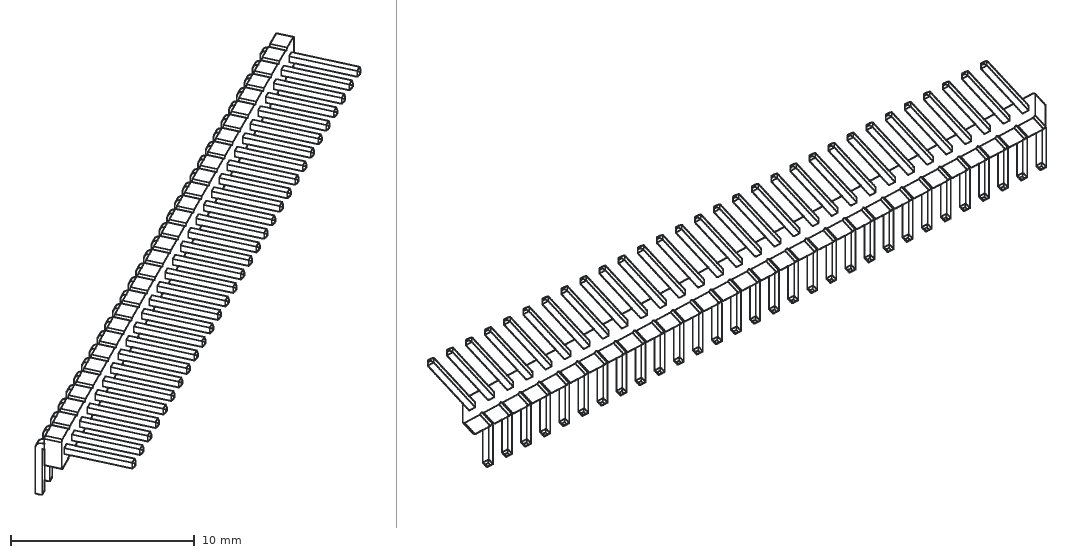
import cadquery as cq
import math

overall_x = 5.7
overall_y = 38.1
overall_z = 4.5

pin_count = 30
pitch = overall_y / pin_count
pin_half_width = 0.202
pin_width = 2 * pin_half_width
tip_chamfer = 0.1

strip_width = 1.0
strip_height = 2.05
strip_offset = 0.7
strip_bevel = 0.125

leg_end_z = strip_height / 2 - overall_z
bend_inset = pin_width * (1 - math.sqrt(0.5))


def make_strip_segment(y_center):
    """One segment of the strip: a bar along X with bevelled long edges."""
    return (
        cq.Workplane("XY")
        .box(strip_width, pitch, strip_height)
        .edges("|X")
        .chamfer(strip_bevel)
        .translate((strip_offset + strip_width / 2, y_center, 0))
    )


def make_pin(y_center):
    """Square pin bent down by 90 degrees: sharp inside, round outside, with bevelled tips."""
    pin = (
        cq.Workplane("XZ")
        .moveTo(0, leg_end_z)
        .lineTo(0, -pin_half_width)
        .threePointArc((bend_inset, pin_half_width - bend_inset), (pin_width, pin_half_width))
        .lineTo(overall_x, pin_half_width)
        .lineTo(overall_x, -pin_half_width)
        .lineTo(pin_width, -pin_half_width)
        .lineTo(pin_width, leg_end_z)
        .close()
        .extrude(pin_half_width, both=True)
    )
    pin = pin.faces(">X").chamfer(tip_chamfer)
    pin = pin.faces("<Z").chamfer(tip_chamfer)
    return pin.translate((0, y_center, 0))


segments = []
for index in range(pin_count):
    y_center = (index - (pin_count - 1) / 2) * pitch
    segments.append(make_strip_segment(y_center).union(make_pin(y_center)).val())

result = cq.Workplane(segments[0].fuse(*segments[1:]).clean())